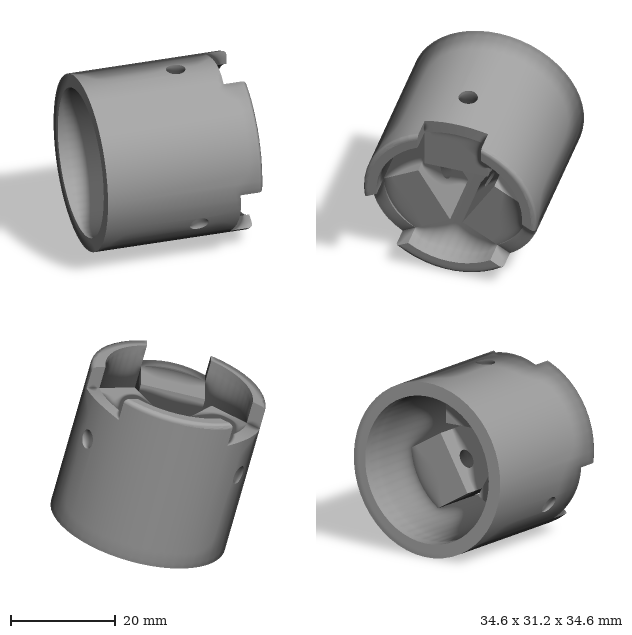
import cadquery as cq

outer_diameter = 34.6
bore_diameter = 29.2
length = 31.2
rim_fillet = 0.9

station_count = 3
station_width = 12.7
pad_front = 14.95
pad_inner_height = 5.12
hole_diameter = 3.7
hole_position = 19.03

floor_edge = 26.65
floor_crown = 0.45

outer_radius = outer_diameter / 2
bore_radius = bore_diameter / 2
half_width = station_width / 2
wall_middle = (outer_radius + bore_radius) / 2
axis = (0, 1, 0)


def cylinder(diameter):
    """Full-length cylinder on the Y axis, starting at Y = 0."""
    return cq.Workplane("XZ").circle(diameter / 2).extrude(-length)


def repeat(shape):
    """Copy a station shape evenly around the sleeve axis."""
    copies = shape
    for index in range(1, station_count):
        copies = copies.union(shape.rotate((0, 0, 0), axis, index * 360 / station_count))
    return copies


def make_sleeve():
    body = cylinder(outer_diameter).faces(">Y").edges().fillet(rim_fillet)
    return body.cut(cylinder(bore_diameter))


def make_pad():
    """Block reaching from the wall towards the axis, flat on its inner face."""
    block = (
        cq.Workplane("XY", origin=(0, 0, pad_inner_height))
        .moveTo(0, (pad_front + floor_edge) / 2)
        .rect(station_width, floor_edge - pad_front)
        .extrude(outer_radius - pad_inner_height)
    )
    return block.intersect(cylinder(2 * wall_middle))


def make_notch():
    """Opening through the wall at the +Y rim with a crowned floor."""
    return (
        cq.Workplane("XY")
        .moveTo(-half_width, floor_edge)
        .threePointArc((0, floor_edge + floor_crown), (half_width, floor_edge))
        .lineTo(half_width, length)
        .lineTo(-half_width, length)
        .close()
        .extrude(outer_radius)
    )


def make_hole():
    """Radial hole through the wall and the pad."""
    return cq.Workplane("XY").center(0, hole_position).circle(hole_diameter / 2).extrude(outer_radius)


result = (
    make_sleeve()
    .cut(repeat(make_notch()))
    .union(repeat(make_pad()))
    .cut(repeat(make_hole()))
)